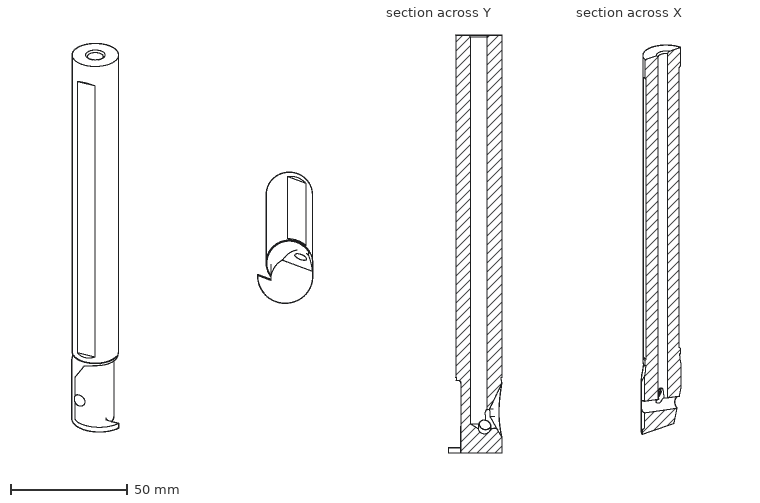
import math

import cadquery as cq

TOTAL_LENGTH = 179.55
SHANK_RADIUS = 10.0
SHANK_BOTTOM = 32.4

FLAT_DISTANCE = 9.08
FLAT_BOTTOM = 35.7
FLAT_TOP = 170.0
FLAT_CUT_DEPTH = 2.0

HEAD_RADIUS = 11.87
HEAD_OFFSET = HEAD_RADIUS - SHANK_RADIUS

NECK_RADIUS = SHANK_RADIUS
NECK_OFFSET = -2.2
COLLAR_BOTTOM = 31.2
LIP_THICKNESS = 2.4
LIP_REAR_Y = -3.85
NECK_FILLET = 1.0

CONE_TOP_RADIUS = 9.6
CONE_HALF_ANGLE = 8.0

RELIEF_TOP_Z = 16.0
RELIEF_BOTTOM_Y = 6.2

BORE_RADIUS = 3.4
BORE_MOUTH_RADIUS = 4.2
BORE_BOTTOM = 12.5
DRILL_POINT_ANGLE = 118.0

CROSS_HOLE_RADIUS = 2.65
CROSS_HOLE_FRONT = cq.Vector(-2.85, -9.8, 12.8)
CROSS_HOLE_REAR = cq.Vector(-2.0, 9.0, 9.5)
CROSS_HOLE_OVERRUN = 5.0

POCKET_RADIUS = 4.7
POCKET_Y = -0.7
POCKET_BOTTOM = 6.6
POCKET_TOP = 30.2
POCKET_FLOOR_BOTTOM = 15.8
POCKET_FLOOR_TOP = 19.0
POCKET_FLOOR_X = -4.6

WINDOW_LENGTH = 8.0
WINDOW_WIDTH = 3.0
WINDOW_Y = -0.3
WINDOW_Z = 14.7
WINDOW_TILT = 6.0


def cylinder(radius, bottom, top, x=0.0):
    return cq.Workplane("XY", origin=(x, 0, bottom)).circle(radius).extrude(top - bottom)


def make_head():
    """Lens-shaped head with a collar above and a crescent lip below."""
    collar = cylinder(HEAD_RADIUS, COLLAR_BOTTOM, SHANK_BOTTOM, HEAD_OFFSET)
    lens = cylinder(HEAD_RADIUS, 0, COLLAR_BOTTOM, HEAD_OFFSET).intersect(
        cylinder(NECK_RADIUS, 0, COLLAR_BOTTOM, NECK_OFFSET)
    )
    front_half = cq.Workplane("XY").box(
        4 * HEAD_RADIUS, 2 * HEAD_RADIUS, LIP_THICKNESS, centered=(True, False, False)
    ).translate((0, LIP_REAR_Y - 2 * HEAD_RADIUS, 0))
    lip = cylinder(HEAD_RADIUS, 0, LIP_THICKNESS, HEAD_OFFSET).intersect(front_half)
    head = lens.union(lip).union(collar)

    corner_x = NECK_OFFSET + NECK_RADIUS / 2
    corner_y = -NECK_RADIUS * math.sqrt(3) / 2
    lip_corner = cq.selectors.NearestToPointSelector((corner_x, corner_y, LIP_THICKNESS))
    collar_corner = cq.selectors.NearestToPointSelector((corner_x, 0, COLLAR_BOTTOM))
    for corner in (lip_corner, collar_corner):
        head = head.edges("%CIRCLE").edges(corner).fillet(NECK_FILLET)

    cone_bottom_radius = CONE_TOP_RADIUS + SHANK_BOTTOM * math.tan(math.radians(CONE_HALF_ANGLE))
    cone = cq.Workplane(
        cq.Solid.makeCone(cone_bottom_radius, CONE_TOP_RADIUS, SHANK_BOTTOM)
    )
    return head.intersect(cone)


def make_relief():
    """Wedge removed from the +Y side of the head."""
    return (
        cq.Workplane("YZ")
        .moveTo(RELIEF_BOTTOM_Y, 0)
        .lineTo(NECK_RADIUS, RELIEF_TOP_Z)
        .lineTo(2 * NECK_RADIUS, RELIEF_TOP_Z)
        .lineTo(2 * NECK_RADIUS, 0)
        .close()
        .extrude(2 * HEAD_RADIUS, both=True)
    )


def make_flat(side):
    """Cutter for the flat facing +Y (side = 1) or -Y (side = -1)."""
    outer = FLAT_DISTANCE + FLAT_CUT_DEPTH
    return (
        cq.Workplane("YZ")
        .moveTo(side * FLAT_DISTANCE, FLAT_BOTTOM)
        .lineTo(side * FLAT_DISTANCE, FLAT_TOP)
        .lineTo(side * outer, FLAT_TOP + FLAT_CUT_DEPTH)
        .lineTo(side * outer, FLAT_BOTTOM - FLAT_CUT_DEPTH)
        .close()
        .extrude(SHANK_RADIUS, both=True)
    )


def make_bore():
    point_depth = BORE_RADIUS / math.tan(math.radians(DRILL_POINT_ANGLE / 2))
    mouth_depth = BORE_MOUTH_RADIUS - BORE_RADIUS
    return (
        cq.Workplane("XZ")
        .moveTo(0, BORE_BOTTOM - point_depth)
        .lineTo(BORE_RADIUS, BORE_BOTTOM)
        .lineTo(BORE_RADIUS, TOTAL_LENGTH - mouth_depth)
        .lineTo(BORE_MOUTH_RADIUS, TOTAL_LENGTH)
        .lineTo(0, TOTAL_LENGTH)
        .close()
        .revolve(360, (0, 0, 0), (0, 1, 0))
    )


def make_cross_hole():
    direction = (CROSS_HOLE_REAR - CROSS_HOLE_FRONT).normalized()
    start = CROSS_HOLE_FRONT - direction * CROSS_HOLE_OVERRUN
    length = (CROSS_HOLE_REAR - CROSS_HOLE_FRONT).Length + 2 * CROSS_HOLE_OVERRUN
    return cq.Workplane(cq.Solid.makeCylinder(CROSS_HOLE_RADIUS, length, start, direction))


def pocket_span(bottom, bottom_x, top, top_x):
    """Straight or leaning channel whose horizontal sections are all the pocket circle."""
    section = cq.Wire.makeCircle(
        POCKET_RADIUS, cq.Vector(bottom_x, POCKET_Y, bottom), cq.Vector(0, 0, 1)
    )
    rise = cq.Vector(top_x - bottom_x, 0, top - bottom)
    return cq.Workplane(cq.Solid.extrudeLinear(section, [], rise))


def make_pocket():
    """Upright channel at the pocket floor with a ramp running out at each end."""
    floor_x = POCKET_FLOOR_X - POCKET_RADIUS
    run_out_x = -SHANK_RADIUS - POCKET_RADIUS
    floor = pocket_span(POCKET_FLOOR_BOTTOM, floor_x, POCKET_FLOOR_TOP, floor_x)
    lower_ramp = pocket_span(POCKET_BOTTOM, run_out_x, POCKET_FLOOR_BOTTOM, floor_x)
    upper_ramp = pocket_span(POCKET_FLOOR_TOP, floor_x, POCKET_TOP, run_out_x)
    return floor.union(lower_ramp).union(upper_ramp)


def make_window():
    """Slot running along X from outside the head to the bore axis."""
    return (
        cq.Workplane("YZ", origin=(-SHANK_RADIUS, WINDOW_Y, WINDOW_Z))
        .slot2D(WINDOW_LENGTH, WINDOW_WIDTH, 90 + WINDOW_TILT)
        .extrude(SHANK_RADIUS)
    )


result = cylinder(SHANK_RADIUS, SHANK_BOTTOM, TOTAL_LENGTH).union(make_head())
result = result.cut(make_relief())
for flat_side in (1, -1):
    result = result.cut(make_flat(flat_side))
result = result.cut(make_bore()).cut(make_cross_hole()).cut(make_pocket()).cut(make_window())